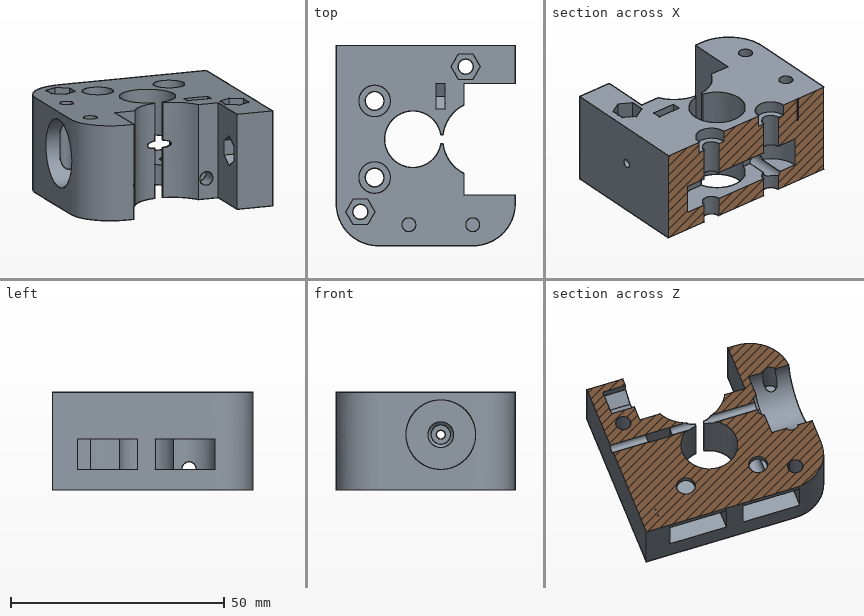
import cadquery as cq
import math

WIDTH = 42.0
LENGTH = 47.0
HEIGHT = 23.0
FRONT_CORNER_RADIUS = 9.95
MID_Y = 25.0
OVERCUT = 0.45

BORE_X = 18.0
BORE_DIAMETER = 13.2
NOTCH_X = 30.0
NOTCH_FRONT_Y = 12.0
NOTCH_REAR_Y = 38.0
IDLER_X = 34.0
IDLER_DIAMETER = 17.9
SLIT_WIDTH = 2.0

BOLT_X = 9.02
BOLT_OFFSET_Y = 9.0
BOLT_DIAMETER = 4.32
COUNTERBORE_DIAMETER = 7.4
COUNTERBORE_DEPTH = 2.8
POCKET_OFFSET_Y = 9.1
POCKET_WIDTH = 14.05
POCKET_FLOOR_Z = 4.9
POCKET_HEIGHT = 7.1
REAR_CORNER_X = 14.85

NUT_SCREW_POINTS = [(30.35, 42.0), (5.7, 8.0)]
NUT_SCREW_DIAMETER = 3.5
NUT_ACROSS_CORNERS = 6.85
NUT_RECESS_DEPTH = 6.0

FILAMENT_X = 24.55
FILAMENT_Z = 13.0
FILAMENT_DIAMETER = 2.0
SOCKET_DIAMETER = 16.3
SOCKET_DEPTH = 10.0
FUNNEL_MOUTH_DIAMETER = 6.0
FUNNEL_END_DIAMETER = 4.5
FUNNEL_DEPTH = 1.0

PIN_OFFSET_X = 7.45
PIN_Y = 5.0
PIN_DIAMETER = 3.25
PIN_FLOOR_Z = 5.0

CROSS_SCREW_Y = [15.0, 35.05]
CROSS_SCREW_Z = 5.0
CROSS_SCREW_DIAMETER = 3.3
NUT_SLOT_X = 23.35
NUT_SLOT_THICKNESS = 2.15
NUT_SLOT_WIDTH = 5.9

ARM_HEX_X = 36.9
ARM_HEX_ACROSS_FLATS = 6.2
ARM_HEX_DEPTH = 5.65

FLATS_TO_CORNERS = 1 / math.cos(math.pi / 6)


def box(x_min, x_max, y_min, y_max, z_min, z_max):
    """Axis-aligned box between the given limits."""
    size = (x_max - x_min, y_max - y_min, z_max - z_min)
    return cq.Workplane().box(*size, centered=False).translate((x_min, y_min, z_min))


def vertical_cylinder(x, y, diameter, z_min, z_max):
    """Cylinder standing along Z."""
    return cq.Workplane("XY", origin=(x, y, z_min)).circle(diameter / 2).extrude(z_max - z_min)


def along_y(x, z, y_start):
    """Workplane whose extrusions grow toward +Y."""
    return cq.Workplane("XZ", origin=(x, y_start, z)).transformed(rotate=(180, 0, 0))


def along_x(y, z, x_start):
    """Workplane whose extrusions grow toward +X."""
    return cq.Workplane("YZ", origin=(x_start, y, z))


def make_block():
    block = box(0, WIDTH, 0, LENGTH, 0, HEIGHT)
    return block.edges("|Z and <Y").fillet(FRONT_CORNER_RADIUS)


def make_bore_and_notch():
    bore = vertical_cylinder(BORE_X, MID_Y, BORE_DIAMETER, 0, HEIGHT)
    idler = vertical_cylinder(IDLER_X, MID_Y, IDLER_DIAMETER, 0, HEIGHT)
    notch = box(NOTCH_X, WIDTH + OVERCUT, NOTCH_FRONT_Y, NOTCH_REAR_Y, 0, HEIGHT)
    slit = box(BORE_X, IDLER_X, MID_Y - SLIT_WIDTH / 2, MID_Y + SLIT_WIDTH / 2, 0, HEIGHT)
    return bore.union(idler).union(notch).union(slit)


def make_pockets():
    top_z = POCKET_FLOOR_Z + POCKET_HEIGHT
    half = POCKET_WIDTH / 2
    front_y = MID_Y - POCKET_OFFSET_Y
    rear_y = MID_Y + POCKET_OFFSET_Y
    pockets = box(BOLT_X, BOLT_X + half, front_y, rear_y, POCKET_FLOOR_Z, top_z)
    for y in (front_y, rear_y):
        window = box(-OVERCUT, BOLT_X, y - half, y + half, POCKET_FLOOR_Z, top_z)
        round_end = vertical_cylinder(BOLT_X, y, POCKET_WIDTH, POCKET_FLOOR_Z, top_z)
        pockets = pockets.union(window).union(round_end)
    rear_corner = box(BOLT_X, REAR_CORNER_X, NOTCH_REAR_Y, rear_y + half, POCKET_FLOOR_Z, top_z)
    return pockets.union(rear_corner)


def make_bolt_holes():
    points = [(BOLT_X, MID_Y - BOLT_OFFSET_Y), (BOLT_X, MID_Y + BOLT_OFFSET_Y)]
    shanks = cq.Workplane().pushPoints(points).circle(BOLT_DIAMETER / 2).extrude(HEIGHT)
    heads = (
        cq.Workplane(origin=(0, 0, HEIGHT - COUNTERBORE_DEPTH))
        .pushPoints(points)
        .circle(COUNTERBORE_DIAMETER / 2)
        .extrude(COUNTERBORE_DEPTH)
    )
    return shanks.union(heads)


def make_nut_screws():
    shanks = cq.Workplane().pushPoints(NUT_SCREW_POINTS).circle(NUT_SCREW_DIAMETER / 2).extrude(HEIGHT)
    recesses = (
        cq.Workplane(origin=(0, 0, HEIGHT - NUT_RECESS_DEPTH))
        .pushPoints(NUT_SCREW_POINTS)
        .polygon(6, NUT_ACROSS_CORNERS)
        .extrude(NUT_RECESS_DEPTH)
    )
    return shanks.union(recesses)


def make_filament_path():
    path = along_y(FILAMENT_X, FILAMENT_Z, 0).circle(FILAMENT_DIAMETER / 2).extrude(LENGTH)
    socket = along_y(FILAMENT_X, FILAMENT_Z, 0).circle(SOCKET_DIAMETER / 2).extrude(SOCKET_DEPTH)
    funnel = cq.Workplane(
        cq.Solid.makeCone(
            FUNNEL_MOUTH_DIAMETER / 2,
            FUNNEL_END_DIAMETER / 2,
            FUNNEL_DEPTH,
            pnt=cq.Vector(FILAMENT_X, SOCKET_DEPTH, FILAMENT_Z),
            dir=cq.Vector(0, 1, 0),
        )
    )
    return path.union(socket).union(funnel)


def make_pin_holes():
    left, right = (
        vertical_cylinder(FILAMENT_X + side * PIN_OFFSET_X, PIN_Y, PIN_DIAMETER, PIN_FLOOR_Z, HEIGHT)
        for side in (-1, 1)
    )
    return left.union(right)


def make_cross_screws():
    front_y, rear_y = CROSS_SCREW_Y
    radius = CROSS_SCREW_DIAMETER / 2
    front = along_x(front_y, CROSS_SCREW_Z, BOLT_X).circle(radius).extrude(NOTCH_X - BOLT_X)
    rear = along_x(rear_y, CROSS_SCREW_Z, NUT_SLOT_X).circle(radius).extrude(NOTCH_X - NUT_SLOT_X)
    slot_end = (
        along_x(rear_y, CROSS_SCREW_Z, NUT_SLOT_X)
        .transformed(rotate=(0, 0, 90))
        .polygon(6, NUT_SLOT_WIDTH * FLATS_TO_CORNERS)
        .extrude(NUT_SLOT_THICKNESS)
    )
    half = NUT_SLOT_WIDTH / 2
    slot = box(
        NUT_SLOT_X, NUT_SLOT_X + NUT_SLOT_THICKNESS,
        rear_y - half, rear_y + half, CROSS_SCREW_Z, HEIGHT,
    )
    return front.union(rear).union(slot_end).union(slot)


def make_arm_hex():
    return (
        along_y(ARM_HEX_X, FILAMENT_Z, NOTCH_REAR_Y)
        .transformed(rotate=(0, 0, 90))
        .polygon(6, ARM_HEX_ACROSS_FLATS * FLATS_TO_CORNERS)
        .extrude(ARM_HEX_DEPTH)
    )


result = (
    make_block()
    .cut(make_bore_and_notch())
    .cut(make_pockets())
    .cut(make_bolt_holes())
    .cut(make_nut_screws())
    .cut(make_filament_path())
    .cut(make_pin_holes())
    .cut(make_cross_screws())
    .cut(make_arm_hex())
)